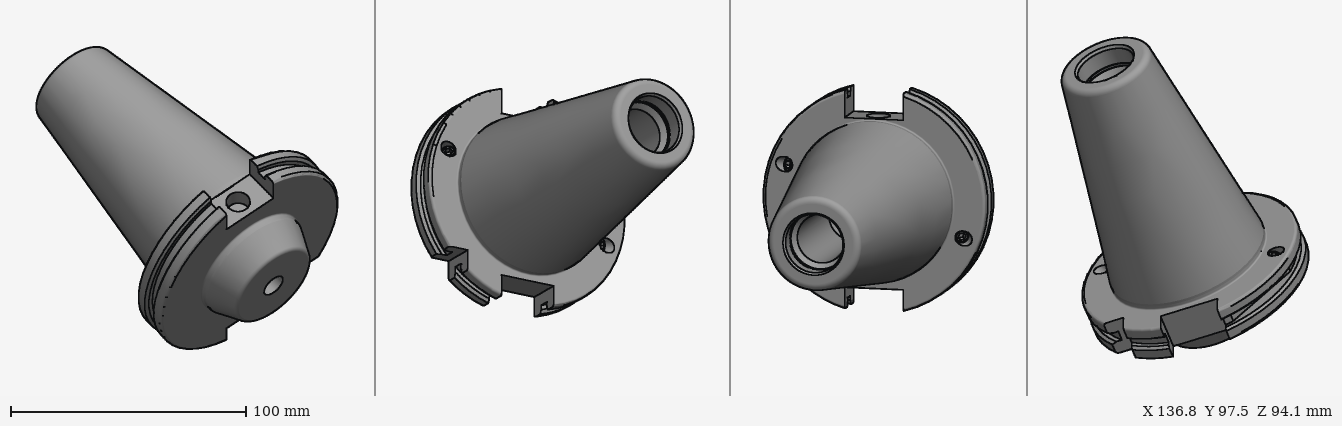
import cadquery as cq
import math

overall_length = 136.8

taper_per_radius = 7 / 48
gauge_x = 101.9
gauge_radius = 34.9
small_end_round = 3.0
small_end_radius = gauge_radius - taper_per_radius * gauge_x

neck_radius = 34.7
neck_start_x = 103.1
neck_fillet = 0.7

flange_start_x = 104.9
flange_width = 16.0
flange_end_x = flange_start_x + flange_width
flange_mid_x = flange_start_x + flange_width / 2
flange_radius = 48.75
flange_round = 1.2

groove_radius = 45.1
groove_flare_radius = 47.0
groove_floor_width = 4.5
groove_top_width = 6.2

nose_radius = 26.1
nose_cone_start_x = 123.8
nose_end_radius = 20.2
nose_edge_round = 0.8
nose_end_round = 1.9
nose_shoulder_round = 1.9

pilot_radius = 12.6
pilot_chamfer_radius = 13.4
pilot_chamfer_length = 1.4
relief_start_x = 9.3
relief_end_x = 10.7
relief_radius = 13.0
thread_radius = 10.5
thread_start_x = 13.7
drill_cone_x = 68.4
drill_half_angle = 59.0
through_radius = 5.13

slot_width = 25.7
top_slot_floor = 35.5
bottom_slot_floor = 37.7
notch_offset = 29.7
flat_distance = 41.3
flat_angle = 45.0
carrier_radius = 5.0
carrier_depth = 8.2

port_angle = 20.0
port_count = 2
port_tilt = 33.0
port_mouth_radius = 41.8
port_radius = 3.1
screw_recess = 2.3
screw_length = 6.0
screw_chamfer = 0.7
socket_across_flats = 3.0
socket_depth = 2.7
passage_radius = 1.6
passage_end_radius = 9.7


def revolve_about_x(profile):
    return profile.close().revolve(360, (0, 0, 0), (1, 0, 0))


def make_outer_body():
    """Taper, neck, flange and nose as one turned shape."""
    half_floor = groove_floor_width / 2
    half_top = groove_top_width / 2
    rim_radius = flange_radius - flange_round
    profile = (
        cq.Workplane("XY")
        .lineTo(0, small_end_radius)
        .lineTo(gauge_x, gauge_radius)
        .lineTo(neck_start_x, neck_radius)
        .lineTo(flange_start_x - neck_fillet, neck_radius)
        .radiusArc((flange_start_x, neck_radius + neck_fillet), -neck_fillet)
        .lineTo(flange_start_x, rim_radius)
        .radiusArc((flange_start_x + flange_round, flange_radius), flange_round)
        .lineTo(flange_mid_x - half_top, flange_radius)
        .lineTo(flange_mid_x - half_floor, groove_flare_radius)
        .lineTo(flange_mid_x - half_floor, groove_radius)
        .lineTo(flange_mid_x + half_floor, groove_radius)
        .lineTo(flange_mid_x + half_floor, groove_flare_radius)
        .lineTo(flange_mid_x + half_top, flange_radius)
        .lineTo(flange_end_x - flange_round, flange_radius)
        .radiusArc((flange_end_x, rim_radius), flange_round)
        .lineTo(flange_end_x, nose_radius + nose_edge_round)
        .radiusArc((flange_end_x + nose_edge_round, nose_radius), -nose_edge_round)
        .lineTo(nose_cone_start_x, nose_radius)
        .lineTo(overall_length, nose_end_radius)
        .lineTo(overall_length, 0)
    )
    body = revolve_about_x(profile)
    body = body.faces("<X").edges().fillet(small_end_round)
    body = body.faces(">X").edges().fillet(nose_end_round)
    shoulder = cq.selectors.NearestToPointSelector((nose_cone_start_x, 0, 0))
    return body.edges(shoulder).fillet(nose_shoulder_round)


def make_bore():
    drill_cone_length = (thread_radius - through_radius) / math.tan(math.radians(drill_half_angle))
    profile = (
        cq.Workplane("XY")
        .lineTo(0, pilot_chamfer_radius)
        .lineTo(pilot_chamfer_length, pilot_radius)
        .lineTo(relief_start_x, pilot_radius)
        .lineTo(relief_start_x, relief_radius)
        .lineTo(relief_end_x, relief_radius)
        .lineTo(relief_end_x, pilot_radius)
        .lineTo(thread_start_x, thread_radius)
        .lineTo(drill_cone_x, thread_radius)
        .lineTo(drill_cone_x + drill_cone_length, through_radius)
        .lineTo(overall_length, through_radius)
        .lineTo(overall_length, 0)
    )
    return revolve_about_x(profile)


def flange_cutter(y_size, z_size, y_center, z_center):
    """Box through the whole flange width."""
    box = cq.Workplane("XY").box(flange_width, y_size, z_size)
    return box.translate((flange_mid_x, y_center, z_center))


def make_drive_slots():
    half_height = flange_radius / 2
    top_slot = flange_cutter(slot_width, flange_radius, 0, top_slot_floor + half_height)
    bottom_slot = flange_cutter(slot_width, flange_radius, 0, -bottom_slot_floor - half_height)
    return top_slot.union(bottom_slot)


def make_corner_notch():
    center = notch_offset + flange_radius / 2
    return flange_cutter(flange_radius, flange_radius, center, -center)


def make_groove_flat():
    """Cutter for the flat on the groove floor, facing -Y and -Z."""
    cutter_height = flange_radius - flat_distance
    cutter = cq.Workplane("XY").box(groove_floor_width, flange_radius, cutter_height)
    cutter = cutter.translate((flange_mid_x, 0, -flat_distance - cutter_height / 2))
    return cutter.rotate((0, 0, 0), (1, 0, 0), -flat_angle)


def make_carrier_hole():
    floor = top_slot_floor - carrier_depth
    hole = cq.Workplane("XY").circle(carrier_radius).extrude(carrier_depth)
    return hole.translate((flange_mid_x, 0, floor))


port_direction = cq.Vector(math.cos(math.radians(port_tilt)), -math.sin(math.radians(port_tilt)), 0)
port_mouth = cq.Vector(flange_start_x, port_mouth_radius, 0)
port_end = port_mouth + port_direction * (screw_recess + screw_length)
passage_end = cq.Vector(drill_cone_x, passage_end_radius, 0)


def turn_to_port(shape, index):
    return shape.rotate((0, 0, 0), (1, 0, 0), port_angle + index * 360 / port_count)


def make_port_cutter():
    """Tilted screw hole, and the passage from its end past the rim of the drill cone."""
    overrun = 2 * port_radius
    start = port_mouth - port_direction * overrun
    hole_length = overrun + screw_recess + screw_length
    screw_hole = cq.Solid.makeCylinder(port_radius, hole_length, start, port_direction)
    passage_vector = passage_end - port_end
    passage_length = passage_vector.Length + 2 * passage_radius
    passage = cq.Solid.makeCylinder(passage_radius, passage_length, port_end, passage_vector)
    return cq.Workplane(screw_hole).union(cq.Workplane(passage))


def make_housing():
    housing = make_outer_body().cut(make_bore())
    housing = housing.cut(make_drive_slots()).cut(make_corner_notch())
    housing = housing.cut(make_groove_flat()).cut(make_carrier_hole())
    for index in range(port_count):
        housing = housing.cut(turn_to_port(make_port_cutter(), index))
    return housing


def make_plug_screw():
    """Set screw with a hexagon socket, filling the inner end of a port."""
    head = port_mouth + port_direction * screw_recess
    head_plane = cq.Plane(origin=head, xDir=(0, 0, 1), normal=port_direction)
    screw = cq.Workplane(head_plane).circle(port_radius).extrude(screw_length)
    screw = screw.edges(cq.selectors.NearestToPointSelector(head.toTuple())).chamfer(screw_chamfer)
    socket_diameter = socket_across_flats / math.cos(math.pi / 6)
    socket = cq.Workplane(head_plane).polygon(6, socket_diameter).extrude(socket_depth)
    return screw.cut(socket)


housing = make_housing()
plug_screws = [turn_to_port(make_plug_screw(), index) for index in range(port_count)]

result = cq.Compound.makeCompound([housing.val(), *[screw.val() for screw in plug_screws]])